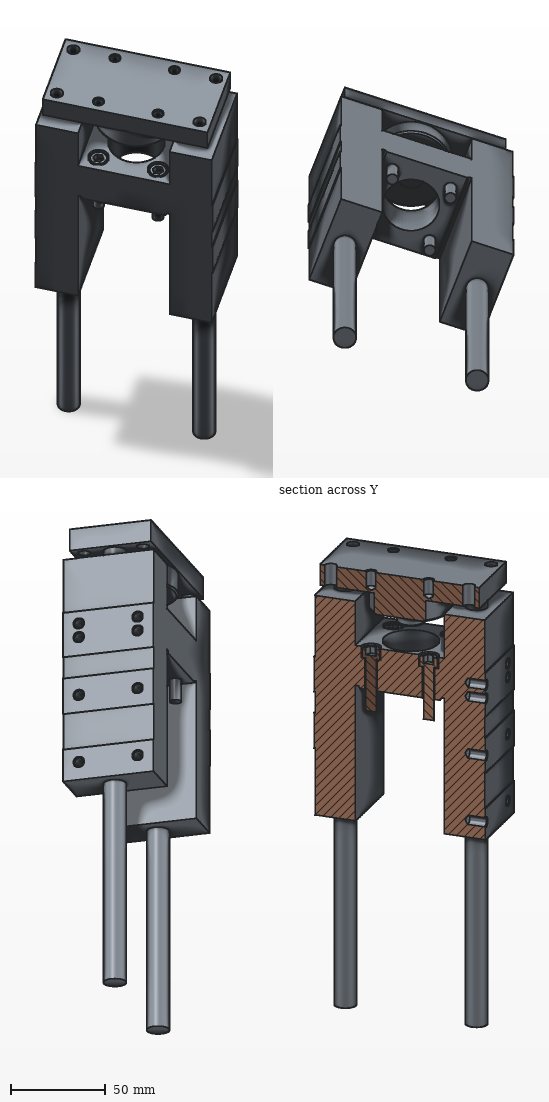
import cadquery as cq
import math


hole_offset = 16.25

housing_height = 125.0
housing_depth = 50.0
body_width = 96.0
leg_gap = 50.0
crossbar_top = housing_height - 25.0
crossbar_bottom = crossbar_top - 24.5
relief_depth = 1.5
relief_flat_width = 1.5
relief_width = 2.5
pad_thickness = 0.5
left_pads = [(0.0, 18.0), (38.0, 58.0), (70.0, 95.0)]
right_pads = [(38.0, 58.0), (70.0, 90.0)]
crossbar_bore_diameter = 30.0

tap_core_diameter = 4.92
tap_mouth_diameter = 6.0
tap_depth = 10.0
tap_point_angle = 118.0
tap_heights = [10.0, 47.75, 80.25, 88.0]

screw_diameter = 6.0
screw_clearance_diameter = 6.6
screw_length = 30.0
head_diameter = 10.0
head_height = 6.0
head_top_diameter = 8.65
head_chamfer = (head_diameter - head_top_diameter) / 2
socket_across_flats = 5.0
socket_depth = 4.0
counterbore_diameter = 11.0
counterbore_depth = 6.5
screw_seat = crossbar_top - counterbore_depth

plate_length = 90.0
plate_depth = 45.0
plate_thickness = 12.0
plate_bottom = housing_height + 6.0
plate_top = plate_bottom + plate_thickness
total_height = 255.0
boss_diameter = 44.0
boss_height = 12.0
boss_chamfer = 1.0
spigot_diameter = 15.0
spigot_height = 8.0
spigot_chamfer_height = 0.8
spigot_chamfer_inset = 0.3
rod_diameter = 12.0
rod_offset = 37.0
rod_bottom = plate_top - total_height
corner_hole_diameter = 6.6
corner_hole_offset_x = 39.0
plate_tap_depth = 9.0


def square_points(offset_x, offset_y):
    return [(sx * offset_x, sy * offset_y) for sx in (-1, 1) for sy in (-1, 1)]


def cylinder(diameter, bottom, top, points):
    return (
        cq.Workplane("XY", origin=(0, 0, bottom))
        .pushPoints(points)
        .circle(diameter / 2)
        .extrude(top - bottom)
    )


def tapped_hole(depth):
    """Cutter for a countersunk blind hole: mouth at the origin, running along -Z."""
    core_radius = tap_core_diameter / 2
    mouth_radius = tap_mouth_diameter / 2
    mouth_depth = mouth_radius - core_radius
    point_depth = core_radius / math.tan(math.radians(tap_point_angle / 2))
    return (
        cq.Workplane("XZ")
        .moveTo(0, 0)
        .lineTo(mouth_radius, 0)
        .lineTo(core_radius, -mouth_depth)
        .lineTo(core_radius, -depth)
        .lineTo(0, -depth - point_depth)
        .close()
        .revolve(360, (0, 0, 0), (0, 1, 0))
    )


def make_housing():
    half_body = body_width / 2
    half_gap = leg_gap / 2
    on_base = (True, True, False)
    body = cq.Workplane("XY").box(body_width, housing_depth, housing_height, centered=on_base)

    for side, pads in ((-1, left_pads), (1, right_pads)):
        for low, high in pads:
            pad = cq.Workplane("XY").box(pad_thickness, housing_depth, high - low, centered=on_base)
            body = body.union(pad.translate((side * (half_body + pad_thickness / 2), 0, low)))

    upper_opening = (
        cq.Workplane("XY", origin=(0, 0, crossbar_top))
        .rect(leg_gap, housing_depth)
        .extrude(housing_height - crossbar_top)
    )
    relief_top = crossbar_bottom + relief_depth
    relief_flat_end = half_gap - relief_flat_width
    relief_end = half_gap - relief_width
    lower_opening = (
        cq.Workplane("XZ")
        .polyline([
            (-half_gap, 0),
            (-half_gap, relief_top),
            (-relief_flat_end, relief_top),
            (-relief_end, crossbar_bottom),
            (relief_end, crossbar_bottom),
            (relief_flat_end, relief_top),
            (half_gap, relief_top),
            (half_gap, 0),
        ])
        .close()
        .extrude(housing_depth / 2, both=True)
    )
    body = body.cut(upper_opening).cut(lower_opening)

    screw_points = square_points(hole_offset, hole_offset)
    body = body.cut(cylinder(crossbar_bore_diameter, crossbar_bottom, crossbar_top, [(0, 0)]))
    body = body.cut(cylinder(rod_diameter, 0, housing_height, [(-rod_offset, 0), (rod_offset, 0)]))
    body = body.cut(cylinder(screw_clearance_diameter, crossbar_bottom, crossbar_top, screw_points))
    body = body.cut(cylinder(counterbore_diameter, screw_seat, crossbar_top, screw_points))

    pad_face = -half_body - pad_thickness
    side_hole = tapped_hole(tap_depth).rotate((0, 0, 0), (0, 1, 0), -90)
    for height in tap_heights:
        for y in (-hole_offset, hole_offset):
            body = body.cut(side_hole.translate((pad_face, y, height)))
    return body


def make_ram():
    rod_points = [(-rod_offset, 0), (rod_offset, 0)]
    plate = cq.Workplane("XY", origin=(0, 0, plate_bottom))
    plate = plate.rect(plate_length, plate_depth).extrude(plate_thickness)
    boss_bottom = plate_bottom - boss_height
    boss = cylinder(boss_diameter, boss_bottom, plate_bottom, [(0, 0)]).faces("<Z").chamfer(boss_chamfer)
    spigot = cylinder(spigot_diameter, boss_bottom - spigot_height, boss_bottom, [(0, 0)])
    spigot = spigot.faces("<Z").chamfer(spigot_chamfer_height, spigot_chamfer_inset)
    rods = cylinder(rod_diameter, rod_bottom, plate_bottom, rod_points)
    ram = plate.union(boss).union(spigot).union(rods)

    corners = square_points(corner_hole_offset_x, hole_offset)
    ram = ram.cut(cylinder(corner_hole_diameter, plate_bottom, plate_top, corners))

    for x, y in square_points(hole_offset, hole_offset):
        ram = ram.cut(tapped_hole(plate_tap_depth).translate((x, y, plate_top)))
    return ram


def make_screw(x, y):
    head_top = screw_seat + head_height
    shank = cylinder(screw_diameter, screw_seat - screw_length, screw_seat, [(x, y)])
    head = cylinder(head_diameter, screw_seat, head_top, [(x, y)]).faces(">Z").chamfer(head_chamfer)
    socket = (
        cq.Workplane("XY", origin=(x, y, head_top - socket_depth))
        .polygon(6, socket_across_flats / math.cos(math.pi / 6))
        .extrude(socket_depth)
    )
    return shank.union(head).cut(socket)


housing = make_housing()
ram = make_ram()
screws = [make_screw(x, y) for x, y in square_points(hole_offset, hole_offset)]

result = cq.Compound.makeCompound([
    housing.val(),
    ram.val(),
    *[screw.val() for screw in screws],
])